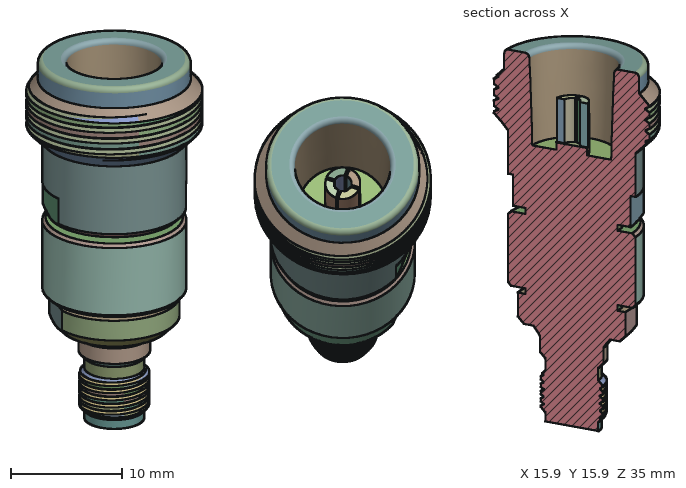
import cadquery as cq

TOTAL_HEIGHT = 35.05

PLUG_DIAMETER = 5.43
SMALL_THREAD_DIAMETER = 6.35
SMALL_THREAD_BOTTOM = 0.88
SMALL_THREAD_TOP = 4.9
SMALL_THREAD_PITCH = 0.7
SMALL_GROOVE_WIDTH = 0.4
SMALL_GROOVE_DEPTH = 0.3
SMALL_GROOVE_START = 0.42
SMALL_GROOVE_HEIGHT = 4.9
SHOULDER_DIAMETER = 6.48
SHOULDER_BOTTOM = 6.05
SHOULDER_TOP = 8.1

FLANGE_DIAMETER = 11.77
FLANGE_BOTTOM = 8.97
FLANGE_TOP = 11.9
FLANGE_CHAMFER = 1.0
FLANGE_FLAT_WIDTH = 11.0
FLANGE_CONE_DIAMETER = 7.8

NECK_DIAMETER = 9.43
RING_BOTTOM = 12.4
RING_TOP = 19.6
RING_CHAMFER = 0.3

BODY_DIAMETER = 13.0
BODY_BOTTOM = 20.1
BODY_TOP = 27.25
BODY_CHAMFER = 0.53
BODY_FLAT_WIDTH = 12.0
BODY_FLAT_TOP = 23.1

LARGE_THREAD_DIAMETER = 15.87
LARGE_THREAD_PITCH = 1.05
LARGE_GROOVE_WIDTH = 0.53
LARGE_GROOVE_DEPTH = 0.45
LARGE_GROOVE_START = 27.25
LARGE_GROOVE_HEIGHT = 6.3
LIP_DIAMETER = 13.8
LIP_BOTTOM = 33.1
LIP_FILLET = 0.5

GROOVE_OVERCUT = 1.3
COLLAR_STOCK = 1.05

SOCKET_MOUTH_DIAMETER = 8.62
SOCKET_FLOOR_DIAMETER = 8.0
SOCKET_DEPTH = 8.75
CONTACT_DIAMETER = 3.15
CONTACT_TOP = TOTAL_HEIGHT - 3.85
CONTACT_HOLE_DIAMETER = 1.58
CONTACT_HOLE_DEPTH = 4.2
CONTACT_SLOT_WIDTH = 0.2

plug_radius = PLUG_DIAMETER / 2
small_thread_radius = SMALL_THREAD_DIAMETER / 2
shoulder_radius = SHOULDER_DIAMETER / 2
flange_radius = FLANGE_DIAMETER / 2
neck_radius = NECK_DIAMETER / 2
body_radius = BODY_DIAMETER / 2
large_thread_radius = LARGE_THREAD_DIAMETER / 2
lip_radius = LIP_DIAMETER / 2


def revolve_outline(outline):
    """Solid of revolution about Z from (radius, height) points."""
    return cq.Workplane("XZ").polyline(outline).close().revolve(360, (0, 0), (0, 1))


def make_turned_body():
    """Outer shape without the threaded collars, revolved from a (radius, height) outline."""
    outline = [
        (0, 0),
        (plug_radius, 0),
        (plug_radius, SHOULDER_BOTTOM),
        (shoulder_radius, SHOULDER_BOTTOM + shoulder_radius - plug_radius),
        (shoulder_radius, SHOULDER_TOP),
        (FLANGE_CONE_DIAMETER / 2, FLANGE_BOTTOM),
        (flange_radius - FLANGE_CHAMFER, FLANGE_BOTTOM),
        (flange_radius, FLANGE_BOTTOM + FLANGE_CHAMFER),
        (flange_radius, FLANGE_TOP),
        (neck_radius, FLANGE_TOP),
        (neck_radius, RING_BOTTOM),
        (body_radius - RING_CHAMFER, RING_BOTTOM),
        (body_radius, RING_BOTTOM + RING_CHAMFER),
        (body_radius, RING_TOP - RING_CHAMFER),
        (body_radius - RING_CHAMFER, RING_TOP),
        (neck_radius, RING_TOP),
        (neck_radius, BODY_BOTTOM),
        (body_radius - BODY_CHAMFER, BODY_BOTTOM),
        (body_radius, BODY_BOTTOM + BODY_CHAMFER),
        (body_radius, LIP_BOTTOM),
        (lip_radius, LIP_BOTTOM),
        (lip_radius, TOTAL_HEIGHT),
        (0, TOTAL_HEIGHT),
    ]
    return revolve_outline(outline)


def make_flat_cutter(width_across, bottom, top):
    """Material outside two parallel flats facing -Y and +Y."""
    block_size = 2 * LARGE_THREAD_DIAMETER
    level = cq.Workplane("XY").workplane(offset=bottom)
    block = level.rect(block_size, block_size).extrude(top - bottom)
    kept = level.rect(block_size, width_across).extrude(top - bottom)
    return block.cut(kept)


def make_socket():
    """Tapered bore."""
    return (
        cq.Workplane("XY", origin=(0, 0, TOTAL_HEIGHT - SOCKET_DEPTH))
        .circle(SOCKET_FLOOR_DIAMETER / 2)
        .workplane(offset=SOCKET_DEPTH)
        .circle(SOCKET_MOUTH_DIAMETER / 2)
        .loft()
    )


def make_contact():
    """Centre contact standing on the socket floor, drilled and cross-slotted."""
    floor_height = TOTAL_HEIGHT - SOCKET_DEPTH
    contact = (
        cq.Workplane("XY", origin=(0, 0, floor_height))
        .circle(CONTACT_DIAMETER / 2)
        .extrude(CONTACT_TOP - floor_height)
    )
    top_face = cq.Workplane("XY", origin=(0, 0, CONTACT_TOP))
    contact = contact.cut(top_face.circle(CONTACT_HOLE_DIAMETER / 2).extrude(-CONTACT_HOLE_DEPTH))
    for length_x, length_y in [
        (CONTACT_DIAMETER, CONTACT_SLOT_WIDTH),
        (CONTACT_SLOT_WIDTH, CONTACT_DIAMETER),
    ]:
        contact = contact.cut(top_face.rect(length_x, length_y).extrude(-CONTACT_HOLE_DEPTH))
    return contact


def make_thread_groove(crest_radius, pitch, height, width, depth):
    """Right-hand V groove that starts at height zero on the +X side."""
    root_radius = crest_radius - depth
    cut_depth = GROOVE_OVERCUT * depth
    half_width = GROOVE_OVERCUT * width / 2
    path = cq.Wire.makeHelix(pitch, height, root_radius)
    return (
        cq.Workplane("XZ")
        .polyline([
            (root_radius, 0),
            (root_radius + cut_depth, -half_width),
            (root_radius + cut_depth, half_width),
        ])
        .close()
        .sweep(cq.Workplane("XY").add(path), isFrenet=True)
    )


def make_threaded_collar(crest_radius, bottom, bottom_radius, top, top_radius, groove, groove_start):
    """Grooved cylinder turned down at 45 degrees to a smaller radius at each end."""
    outline = [
        (0, bottom),
        (bottom_radius, bottom),
        (crest_radius, bottom + crest_radius - bottom_radius),
        (crest_radius, top - (crest_radius - top_radius)),
        (top_radius, top),
        (0, top),
    ]
    cylinder = (
        cq.Workplane("XY", origin=(0, 0, bottom - COLLAR_STOCK))
        .circle(crest_radius)
        .extrude(top - bottom + 2 * COLLAR_STOCK)
    )
    grooved_cylinder = cylinder.cut(groove.translate((0, 0, groove_start)))
    return grooved_cylinder.intersect(revolve_outline(outline))


small_groove = make_thread_groove(
    small_thread_radius, SMALL_THREAD_PITCH, SMALL_GROOVE_HEIGHT, SMALL_GROOVE_WIDTH, SMALL_GROOVE_DEPTH
)
small_collar = make_threaded_collar(
    small_thread_radius, SMALL_THREAD_BOTTOM, plug_radius,
    SMALL_THREAD_TOP, plug_radius, small_groove, SMALL_GROOVE_START,
)
large_groove = make_thread_groove(
    large_thread_radius, LARGE_THREAD_PITCH, LARGE_GROOVE_HEIGHT, LARGE_GROOVE_WIDTH, LARGE_GROOVE_DEPTH
)
large_collar = make_threaded_collar(
    large_thread_radius, BODY_TOP, body_radius,
    LIP_BOTTOM, lip_radius, large_groove, LARGE_GROOVE_START,
)

body = make_turned_body()
body = body.cut(make_flat_cutter(FLANGE_FLAT_WIDTH, FLANGE_BOTTOM, FLANGE_TOP))
body = body.cut(make_flat_cutter(BODY_FLAT_WIDTH, BODY_BOTTOM, BODY_FLAT_TOP))
body = body.union(small_collar).union(large_collar)
body = body.cut(make_socket())
body = body.faces(">Z").edges().fillet(LIP_FILLET)
result = body.union(make_contact()).solids()